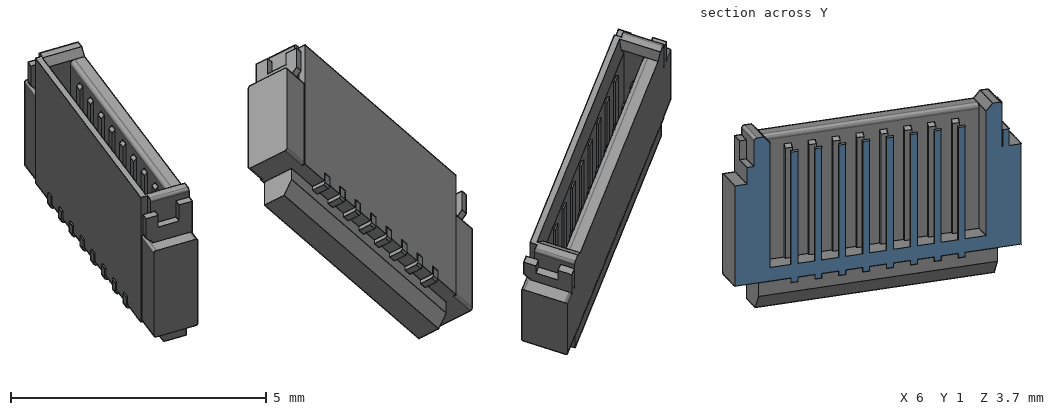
import cadquery as cq
import math


DIAGONAL = math.sqrt(0.5)

length = 6.0
depth = 1.0
height = 3.7

panel_half = 2.45
body_half = 2.6
panel_front = 0.025
side_front = 0.17
body_bottom = 0.6
top_round = 0.06

cavity_half = 2.255
cavity_front = 0.29
cavity_back = 0.69
cavity_floor = 0.9
lead_in = 0.14
front_lead_in_depth = 0.25
end_lead_in_depth = 0.15
mouth_half = cavity_half + lead_in
mouth_front = cavity_front - lead_in
back_wall_top = height - end_lead_in_depth
back_wall_round = 0.095

ear_top = 2.75
ear_front = 0.05
ear_round = 0.055

clip_inner = 2.605
clip_outer = 2.75
clip_back_top = 3.505
clip_front_top = 3.395
clip_slot_floor = 3.1
clip_slot_front = 0.26
clip_slot_back = 0.715
clip_bevel_run = 0.14
clip_bevel_bottom = 2.765
clip_bevel_top = clip_bevel_bottom + clip_bevel_run

tongue_half = 2.5
tongue_back = depth - 0.02
tongue_front = 0.31
tongue_tip_front = 0.5
tongue_bevel_top = 0.31

contact_count = 8
contact_pitch = 0.5
contact_width = 0.15
tail_bottom = 0.505
tail_top = 0.815
tail_bevel = 0.035
contact_top = 3.31
contact_tip_drop = 0.065
strip_thickness = 0.065
front_strip_proud = 0.04
front_strip_back = cavity_front + front_strip_proud


def block(x_range, y_range, z_range):
    """Box spanning the three given (low, high) ranges."""
    size = [high - low for low, high in (x_range, y_range, z_range)]
    corner = (x_range[0], y_range[0], z_range[0])
    return cq.Workplane("XY").box(*size, centered=False).translate(corner)


def side_profile(points, x_low, x_high):
    """Prism along X from an outline of (y, z) points."""
    outline = cq.Workplane("YZ").workplane(offset=x_low).polyline(points).close()
    return outline.extrude(x_high - x_low)


def end_profile(points, y_low, y_high):
    """Prism along Y from an outline of (x, z) points."""
    outline = cq.Workplane("XZ").workplane(offset=-y_high).polyline(points).close()
    return outline.extrude(y_high - y_low)


def make_housing():
    """Outer block: side walls with rounded top edges and a proud front panel."""
    walls = block((-body_half, body_half), (side_front, depth), (body_bottom, height))
    walls = walls.edges("|Y and >Z").fillet(top_round)
    panel = block((-panel_half, panel_half), (panel_front, depth), (body_bottom, height))
    return walls.union(panel)


def make_pocket():
    """Main pocket: flared front wall and rounded back wall edge."""
    round_start = back_wall_top - back_wall_round
    round_end = cavity_back + back_wall_round
    round_middle = (
        round_end - back_wall_round * DIAGONAL,
        round_start + back_wall_round * DIAGONAL,
    )
    return (
        cq.Workplane("YZ")
        .workplane(offset=-cavity_half)
        .moveTo(cavity_front, cavity_floor)
        .lineTo(cavity_back, cavity_floor)
        .lineTo(cavity_back, round_start)
        .threePointArc(round_middle, (round_end, back_wall_top))
        .lineTo(round_end, height)
        .lineTo(mouth_front, height)
        .lineTo(cavity_front, height - front_lead_in_depth)
        .close()
        .extrude(2 * cavity_half)
    )


def make_mouth():
    """Flared mouth over the two ends, open to the back above the low back wall."""
    end_flare = end_profile(
        [
            (-cavity_half, back_wall_top),
            (cavity_half, back_wall_top),
            (mouth_half, height),
            (-mouth_half, height),
        ],
        mouth_front,
        depth,
    )
    front_flare = side_profile(
        [
            (cavity_front, height - front_lead_in_depth),
            (depth, height - front_lead_in_depth),
            (depth, height),
            (mouth_front, height),
        ],
        -mouth_half,
        mouth_half,
    )
    return end_flare.intersect(front_flare)


def make_ear():
    """Right-hand end ear with rounded front and back edges."""
    ear = block((mouth_half, length / 2), (ear_front, depth), (body_bottom, ear_top))
    return ear.edges("|X").fillet(ear_round)


def make_clip():
    """Right-hand hold-down clip: a notched plate with a bevelled front foot."""
    return side_profile(
        [
            (clip_bevel_run, body_bottom + ear_round),
            (depth - ear_round, body_bottom + ear_round),
            (depth - ear_round, ear_top - ear_round),
            (depth, ear_top - ear_round),
            (depth, clip_back_top),
            (clip_slot_back, clip_back_top),
            (clip_slot_back, clip_slot_floor),
            (clip_slot_front, clip_slot_floor),
            (clip_slot_front, clip_front_top),
            (0, clip_front_top),
            (0, clip_bevel_top),
            (clip_bevel_run, clip_bevel_bottom),
        ],
        clip_inner,
        clip_outer,
    )


def make_tongue():
    """Tongue below the housing, bevelled on its lower front."""
    return side_profile(
        [
            (tongue_back, 0),
            (tongue_back, body_bottom),
            (tongue_front, body_bottom),
            (tongue_front, tongue_bevel_top),
            (tongue_tip_front, 0),
        ],
        -tongue_half,
        tongue_half,
    )


def make_contact(x):
    """One contact: solder tail in front and an upright strip on each long cavity wall."""
    x_range = (x - contact_width / 2, x + contact_width / 2)
    tail = side_profile(
        [
            (tail_bevel, tail_bottom),
            (tongue_front, tail_bottom),
            (tongue_front, tail_top),
            (tail_bevel, tail_top),
            (0, tail_top - tail_bevel),
            (0, tail_bottom + tail_bevel),
        ],
        *x_range,
    )
    contact = tail
    for back in (front_strip_back, cavity_back):
        front = back - strip_thickness
        strip = side_profile(
            [
                (front, tail_top),
                (back, tail_top),
                (back, contact_top),
                (front, contact_top - contact_tip_drop),
            ],
            *x_range,
        )
        contact = contact.union(strip)
    return contact


result = make_housing()
for feature in (make_ear(), make_clip()):
    result = result.union(feature).union(feature.mirror("YZ"))
result = result.union(make_tongue()).cut(make_pocket()).cut(make_mouth())
for index in range(contact_count):
    contact_x = (index - (contact_count - 1) / 2) * contact_pitch
    result = result.union(make_contact(contact_x))